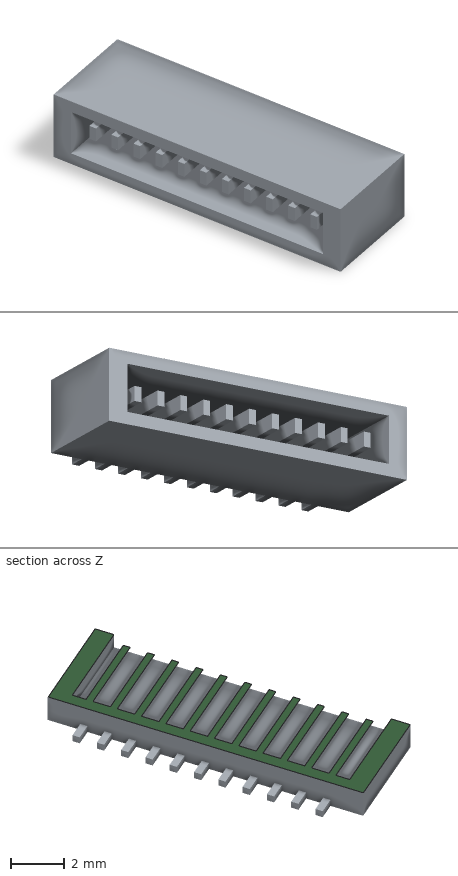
import cadquery as cq

length = 13.0
height = 2.9
overall_depth = 4.95
tail_reach = 0.7
housing_depth = overall_depth - tail_reach

end_wall = 0.79
long_wall = 0.5
back_wall = long_wall
cavity_length = length - 2 * end_wall
cavity_height = height - 2 * long_wall
cavity_depth = housing_depth - back_wall

contact_count = 11
contact_pitch = 1.0
contact_width = 0.3
pin_height = 0.6
pin_recess = 0.4
pin_length = cavity_depth - pin_recess
tail_thickness = 0.3
root_overlap = long_wall / 2


def block(size_x, size_y, size_z, y_start, z_start, x_center=0.0):
    """Box centred on x_center, growing towards +Y and +Z from its start."""
    return (
        cq.Workplane("XY")
        .box(size_x, size_y, size_z, centered=(True, False, False))
        .translate((x_center, y_start, z_start))
    )


def make_housing():
    """Rectangular shell, closed at the back. Its open face lies on Y = 0."""
    shell = block(length, housing_depth, height, 0, 0)
    cavity = block(cavity_length, cavity_depth, cavity_height, 0, long_wall)
    return shell.cut(cavity)


def make_pin(x):
    """Mating pin standing on the back wall at mid height of the cavity."""
    z_start = (height - pin_height) / 2
    return block(contact_width, pin_length + root_overlap, pin_height, pin_recess, z_start, x)


def make_tail(x):
    """Flat solder tail behind the housing, flush with its underside."""
    y_start = housing_depth - root_overlap
    return block(contact_width, tail_reach + root_overlap, tail_thickness, y_start, 0, x)


result = make_housing()
for index in range(contact_count):
    contact_x = (index - (contact_count - 1) / 2) * contact_pitch
    result = result.union(make_pin(contact_x)).union(make_tail(contact_x))